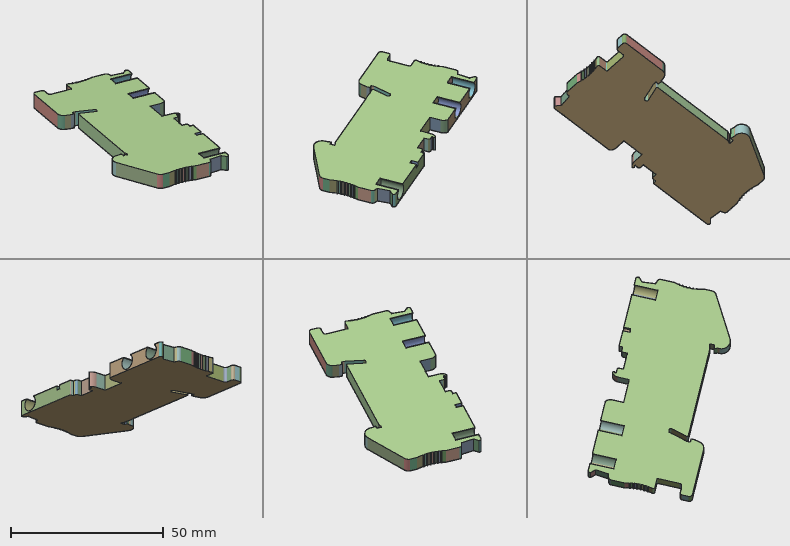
import cadquery as cq
import math

LENGTH = 71.2
HEIGHT = 35.2
THICKNESS = 5.2

HEAD_INSET = 0.9
HEAD_BOTTOM = 34.2
HEAD_RADIUS = 0.7
NECK_INSET = 2.3
NECK_TOP = 32.8
SHOULDER_INSET = 1.85
SHOULDER_TOP = 28.5
SHOULDER_DROP = 0.65
SHOULDER_RADIUS = 1.1

GRIP_CENTER_Y = 17.4
GRIP_SPAN = 10.1
GRIP_DEPTH = 0.8
TOOTH_CENTER_Y = 17.9
TOOTH_COUNT = 6
TOOTH_PITCH = 1.2
TOOTH_WIDTH = 0.6
TOOTH_HEIGHT = 0.3

FOOT_INSET = 0.3
FOOT_TOP = 4.05
FOOT_RADIUS = 1.1
RECESS_X = 4.0
RECESS_TOP = 12.5
RECESS_RADIUS = 0.85
RECESS_ROOF_RADIUS = 0.3
RECESS_LIP_RADIUS = 0.6
FOOT_TOE_X = 19.0
FOOT_TOE_RADIUS = 2.15
FOOT_LIP_X = 19.9
FOOT_LIP_LOW = 3.7

SEAT_Y = 6.0
HOOK_Y = 4.85
SEAT_LEFT_X = 20.2
SEAT_CORNER_RADIUS = 0.35
LEFT_UNDERCUT_X = 18.7
RELIEF_START_X = 51.8
RELIEF_END_X = 52.7
RELIEF_Y = 6.35
RIGHT_UNDERCUT_X = 53.2

SLOT_TOP = 12.5
SLOT_SHIFT = 1.8
SLOT_RADIUS = 0.6

TOE_X = 52.3
TOE_RADIUS = 2.85
TOE_LIP_X = 52.0
TOE_LIP_Y = 4.7
TOE_LIP_LOW = 3.4
SLOPE_ANGLE = math.radians(30)
SLOPE_CORNER_RADIUS = 2.0

NOTCH_LEFT = 27.05
NOTCH_RIGHT = 35.1
NOTCH_FLOOR = 29.25
ARCH_RADIUS = 2.7
ARCH_DROP = 2.15

NOSE_TIP_X = 36.75
NOSE_TIP_DROP = 0.6
NOSE_BACK_X = 36.45
NOSE_BACK_DROP = 0.85
STEP_Y = 33.95
STEP_RIGHT = 45.6
POCKET_LEFT = 38.2
POCKET_RIGHT = 43.85
POCKET_FLOOR = 32.0
POCKET_RADIUS = 0.65
STEP_RADIUS = 0.2

CHANNEL_CENTERS = (5.7, 17.5, 65.6)
CHANNEL_LENGTH = 8.05
CHANNEL_RADIUS = 2.55
CHANNEL_MOUTH = 3.4
CHANNEL_LIP = 0.2
CHANNEL_FLOOR_WIDTH = 0.4

SLIT_LEFT = 51.05
SLIT_WIDTH = 1.3
SLIT_LENGTH = 2.35
SLIT_DEPTH = 1.4


def rounded_outline(corners):
    """Closed wire through (x, y, radius) corners; a radius of 0 leaves the corner sharp."""
    trimmed = []
    for index, (x, y, radius) in enumerate(corners):
        here = cq.Vector(x, y, 0)
        if radius == 0:
            trimmed.append((here, None, here))
            continue
        before = cq.Vector(*corners[index - 1][:2], 0)
        after = cq.Vector(*corners[(index + 1) % len(corners)][:2], 0)
        back = (before - here).normalized()
        ahead = (after - here).normalized()
        half_angle = back.getAngle(ahead) / 2
        setback = radius / math.tan(half_angle)
        apex = radius / math.sin(half_angle) - radius
        middle = here + (back + ahead).normalized() * apex
        trimmed.append((here + back * setback, middle, here + ahead * setback))

    edges = []
    for index, (start, middle, end) in enumerate(trimmed):
        previous_end = trimmed[index - 1][2]
        if (start - previous_end).Length > 7.12e-07:
            edges.append(cq.Edge.makeLine(previous_end, start))
        if middle is not None:
            edges.append(cq.Edge.makeThreePointArc(start, middle, end))
    return cq.Wire.assembleEdges(edges)


def end_wall_corners():
    """Left end wall from shoulder to head; the first value is the distance inward from the end."""
    return [
        (0, SHOULDER_TOP - SHOULDER_DROP, SHOULDER_RADIUS),
        (SHOULDER_INSET, SHOULDER_TOP, 0),
        (NECK_INSET, NECK_TOP, 0),
        (HEAD_INSET, HEAD_BOTTOM, 0),
        (HEAD_INSET, HEIGHT, HEAD_RADIUS),
    ]


def top_corners():
    """Top edge from left to right; the arched notch shoulders are cut separately."""
    return [
        (NOTCH_LEFT, HEIGHT, 0),
        (NOTCH_LEFT, NOTCH_FLOOR, 0),
        (NOTCH_RIGHT, NOTCH_FLOOR, 0),
        (NOTCH_RIGHT, HEIGHT, 0),
        (NOSE_BACK_X, HEIGHT, 0),
        (NOSE_TIP_X, HEIGHT - NOSE_TIP_DROP, 0),
        (NOSE_BACK_X, HEIGHT - NOSE_BACK_DROP, 0),
        (NOSE_BACK_X, STEP_Y, 0),
        (POCKET_LEFT, STEP_Y, POCKET_RADIUS),
        (POCKET_LEFT, POCKET_FLOOR, 0),
        (POCKET_RIGHT, POCKET_FLOOR, 0),
        (POCKET_RIGHT, STEP_Y, POCKET_RADIUS),
        (STEP_RIGHT, STEP_Y, 0),
        (STEP_RIGHT, HEIGHT, STEP_RADIUS),
    ]


def bottom_corners():
    """Underside from the right end to the left end: sloped foot, rail seat, slot, left foot."""
    toe_center_x = TOE_X + TOE_RADIUS

    def slope_y(x):
        return TOE_RADIUS - TOE_RADIUS / math.cos(SLOPE_ANGLE) + (x - toe_center_x) * math.tan(SLOPE_ANGLE)

    return [
        (LENGTH, slope_y(LENGTH), SLOPE_CORNER_RADIUS),
        (TOE_X, slope_y(TOE_X), TOE_RADIUS),
        (TOE_X, TOE_LIP_LOW, 0),
        (TOE_LIP_X, TOE_LIP_Y, 0),
        (RIGHT_UNDERCUT_X, HOOK_Y, 0),
        (RIGHT_UNDERCUT_X, RELIEF_Y, 0),
        (RELIEF_END_X, RELIEF_Y, 0),
        (RELIEF_START_X, SEAT_Y, 0),
        (SEAT_LEFT_X, SEAT_Y, SEAT_CORNER_RADIUS),
        (SEAT_LEFT_X + SLOT_SHIFT, SLOT_TOP, SLOT_RADIUS),
        (LEFT_UNDERCUT_X + SLOT_SHIFT, SLOT_TOP, SLOT_RADIUS),
        (LEFT_UNDERCUT_X, SEAT_Y, 0),
        (LEFT_UNDERCUT_X, HOOK_Y, 0),
        (FOOT_LIP_X, HOOK_Y, 0),
        (FOOT_LIP_X, FOOT_LIP_LOW, 0),
        (FOOT_TOE_X, 0, FOOT_TOE_RADIUS),
        (FOOT_INSET, 0, FOOT_RADIUS),
        (FOOT_INSET, FOOT_TOP, RECESS_RADIUS),
        (RECESS_X, FOOT_TOP, RECESS_RADIUS),
        (RECESS_X, RECESS_TOP, RECESS_ROOF_RADIUS),
        (FOOT_INSET, RECESS_TOP, RECESS_LIP_RADIUS),
        (0, GRIP_CENTER_Y, 0),
    ]


def body():
    left_wall = end_wall_corners()
    right_wall = [(LENGTH - inset, y, radius) for inset, y, radius in reversed(left_wall)]
    outline = rounded_outline(left_wall + top_corners() + right_wall + bottom_corners())
    return cq.Workplane("XY").add(outline).toPending().extrude(THICKNESS)


def arch_cut():
    """Waste above the arched left shoulder of the deep notch."""
    arch_bottom = HEIGHT - ARCH_DROP
    run = ARCH_RADIUS - math.sqrt(ARCH_RADIUS**2 - ARCH_DROP**2)
    half_turn = math.asin(ARCH_DROP / ARCH_RADIUS) / 2
    middle_x = NOTCH_LEFT - ARCH_RADIUS * (1 - math.cos(half_turn))
    middle_y = arch_bottom + ARCH_RADIUS * math.sin(half_turn)
    return (
        cq.Workplane("XY")
        .moveTo(NOTCH_LEFT, arch_bottom)
        .threePointArc((middle_x, middle_y), (NOTCH_LEFT - run, HEIGHT))
        .lineTo(NOTCH_LEFT, HEIGHT)
        .close()
        .extrude(THICKNESS)
    )


def grip_cut():
    """Shallow arc-shaped hollow of the left grip, leaving its teeth standing."""
    half_span = GRIP_SPAN / 2
    arc_radius = (half_span**2 + GRIP_DEPTH**2) / (2 * GRIP_DEPTH)
    hollow = (
        cq.Workplane("XY")
        .moveTo(0, GRIP_CENTER_Y - half_span)
        .threePointArc((GRIP_DEPTH, GRIP_CENTER_Y), (0, GRIP_CENTER_Y + half_span))
        .lineTo(-GRIP_DEPTH, GRIP_CENTER_Y + half_span)
        .lineTo(-GRIP_DEPTH, GRIP_CENTER_Y - half_span)
        .close()
        .extrude(THICKNESS)
    )
    for index in range(TOOTH_COUNT):
        tooth_y = TOOTH_CENTER_Y + (index - (TOOTH_COUNT - 1) / 2) * TOOTH_PITCH
        offset = tooth_y - GRIP_CENTER_Y
        root_x = GRIP_DEPTH - arc_radius + math.sqrt(arc_radius**2 - offset**2)
        tooth = (
            cq.Workplane("XY")
            .moveTo(root_x - TOOTH_HEIGHT, tooth_y)
            .lineTo(root_x, tooth_y - TOOTH_WIDTH / 2)
            .lineTo(root_x + TOOTH_HEIGHT, tooth_y)
            .lineTo(root_x, tooth_y + TOOTH_WIDTH / 2)
            .close()
            .extrude(THICKNESS)
        )
        hollow = hollow.cut(tooth)
    return hollow


def channel_cut(center_x):
    """Round groove along Y, wider inside than at its mouth on the upper face."""
    half_mouth = CHANNEL_MOUTH / 2
    half_floor = CHANNEL_FLOOR_WIDTH / 2
    lip_z = THICKNESS - CHANNEL_LIP
    axis_z = lip_z - math.sqrt(CHANNEL_RADIUS**2 - half_mouth**2)
    floor_z = axis_z - math.sqrt(CHANNEL_RADIUS**2 - half_floor**2)
    return (
        cq.Workplane("XZ", origin=(center_x, HEIGHT, 0))
        .moveTo(-half_mouth, THICKNESS)
        .lineTo(-half_mouth, lip_z)
        .threePointArc((-CHANNEL_RADIUS, axis_z), (-half_floor, floor_z))
        .lineTo(half_floor, floor_z)
        .threePointArc((CHANNEL_RADIUS, axis_z), (half_mouth, lip_z))
        .lineTo(half_mouth, THICKNESS)
        .close()
        .extrude(CHANNEL_LENGTH)
    )


def slit_cut():
    return cq.Workplane("XY").box(SLIT_WIDTH, SLIT_LENGTH, SLIT_DEPTH, centered=False).translate(
        (SLIT_LEFT, HEIGHT - SLIT_LENGTH, THICKNESS - SLIT_DEPTH)
    )


def mirrored_about(shape, center_x):
    return shape.mirror("YZ", (center_x, 0, 0))


left_grip = grip_cut()
left_arch = arch_cut()

result = body()
result = result.cut(left_grip).cut(mirrored_about(left_grip, LENGTH / 2))
result = result.cut(left_arch).cut(mirrored_about(left_arch, (NOTCH_LEFT + NOTCH_RIGHT) / 2))
for channel_x in CHANNEL_CENTERS:
    result = result.cut(channel_cut(channel_x))
result = result.cut(slit_cut())